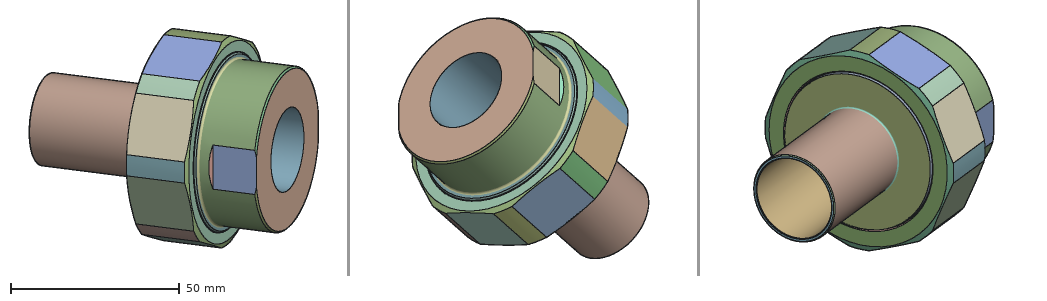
import cadquery as cq
import math

TOTAL_LENGTH = 77.5
BORE_RADIUS = 25.6 / 2

TUBE_RADIUS = 28.0 / 2
TUBE_END_CHAMFER = 0.3
BORE_END_CHAMFER = 0.2
ROOT_FILLET = 0.4
HUB_RADIUS = 50.0 / 2
HUB_START = 37.9

NUT_CORNER_RADIUS = 64.7 / 2
NUT_ACROSS_FLATS = 62.0
NUT_SIDES = 8
NUT_START = 38.4
NUT_END = 58.4
NUT_FACE_RADIUS = 30.5
NUT_CHAMFER_LENGTH = 0.7
NUT_LIP_LENGTH = 4.3
NUT_LIP_RADIUS = 50.5 / 2
NUT_LIP_CHAMFER = 0.4
NUT_BORE_RADIUS = 54.4 / 2

JOINT = NUT_START + NUT_LIP_LENGTH

COLLAR_RADIUS = 54.0 / 2
COLLAR_END = 59.05
COLLAR_CHAMFER = 0.5
SOCKET_RADIUS = HUB_RADIUS
SOCKET_FILLET = 0.6
SOCKET_END_CHAMFER = 0.55
FLAT_ACROSS = 48.05
FLAT_START = 63.5
FLAT_RUNOUT = 0.9


def make_tailpiece():
    profile = (
        cq.Workplane("XY")
        .moveTo(0, BORE_RADIUS + BORE_END_CHAMFER)
        .lineTo(0, TUBE_RADIUS - TUBE_END_CHAMFER)
        .lineTo(TUBE_END_CHAMFER, TUBE_RADIUS)
        .lineTo(HUB_START - ROOT_FILLET, TUBE_RADIUS)
        .radiusArc((HUB_START, TUBE_RADIUS + ROOT_FILLET), -ROOT_FILLET)
        .lineTo(HUB_START, HUB_RADIUS)
        .lineTo(JOINT, HUB_RADIUS)
        .lineTo(JOINT, BORE_RADIUS)
        .lineTo(BORE_END_CHAMFER, BORE_RADIUS)
        .close()
    )
    return profile.revolve(360, (0, 0, 0), (1, 0, 0))


def make_nut():
    turned = (
        cq.Workplane("XY")
        .moveTo(NUT_START, NUT_LIP_RADIUS + NUT_LIP_CHAMFER)
        .lineTo(NUT_START, NUT_FACE_RADIUS)
        .lineTo(NUT_START + NUT_CHAMFER_LENGTH, NUT_CORNER_RADIUS)
        .lineTo(NUT_END - NUT_CHAMFER_LENGTH, NUT_CORNER_RADIUS)
        .lineTo(NUT_END, NUT_FACE_RADIUS)
        .lineTo(NUT_END, NUT_BORE_RADIUS)
        .lineTo(JOINT, NUT_BORE_RADIUS)
        .lineTo(JOINT, NUT_LIP_RADIUS)
        .lineTo(NUT_START + NUT_LIP_CHAMFER, NUT_LIP_RADIUS)
        .close()
        .revolve(360, (0, 0, 0), (1, 0, 0))
    )
    octagon_diameter = NUT_ACROSS_FLATS / math.cos(math.pi / NUT_SIDES)
    octagon = (
        cq.Workplane("YZ", origin=(NUT_START, 0, 0))
        .polygon(NUT_SIDES, octagon_diameter)
        .extrude(NUT_END - NUT_START)
    )
    return turned.intersect(octagon)


def wrench_flat_cutter():
    """Wedge-ended block that cuts the flat on the +Y side."""
    flat_y = FLAT_ACROSS / 2
    depth = SOCKET_RADIUS - flat_y
    return (
        cq.Workplane("XY", origin=(0, 0, -SOCKET_RADIUS))
        .moveTo(FLAT_START, flat_y)
        .lineTo(FLAT_START - FLAT_RUNOUT, flat_y + depth)
        .lineTo(TOTAL_LENGTH, flat_y + depth)
        .lineTo(TOTAL_LENGTH, flat_y)
        .close()
        .extrude(2 * SOCKET_RADIUS)
    )


def make_socket():
    body = (
        cq.Workplane("XY")
        .moveTo(JOINT, BORE_RADIUS)
        .lineTo(JOINT, COLLAR_RADIUS)
        .lineTo(COLLAR_END - COLLAR_CHAMFER, COLLAR_RADIUS)
        .lineTo(COLLAR_END, COLLAR_RADIUS - COLLAR_CHAMFER)
        .lineTo(COLLAR_END, SOCKET_RADIUS + SOCKET_FILLET)
        .radiusArc((COLLAR_END + SOCKET_FILLET, SOCKET_RADIUS), -SOCKET_FILLET)
        .lineTo(TOTAL_LENGTH - SOCKET_END_CHAMFER, SOCKET_RADIUS)
        .lineTo(TOTAL_LENGTH, SOCKET_RADIUS - SOCKET_END_CHAMFER)
        .lineTo(TOTAL_LENGTH, BORE_RADIUS)
        .close()
        .revolve(360, (0, 0, 0), (1, 0, 0))
    )
    flat = wrench_flat_cutter()
    return body.cut(flat).cut(flat.mirror("XZ"))


tailpiece = make_tailpiece()
nut = make_nut()
socket = make_socket()

result = cq.Compound.makeCompound([tailpiece.val(), nut.solids().val(), socket.solids().val()])